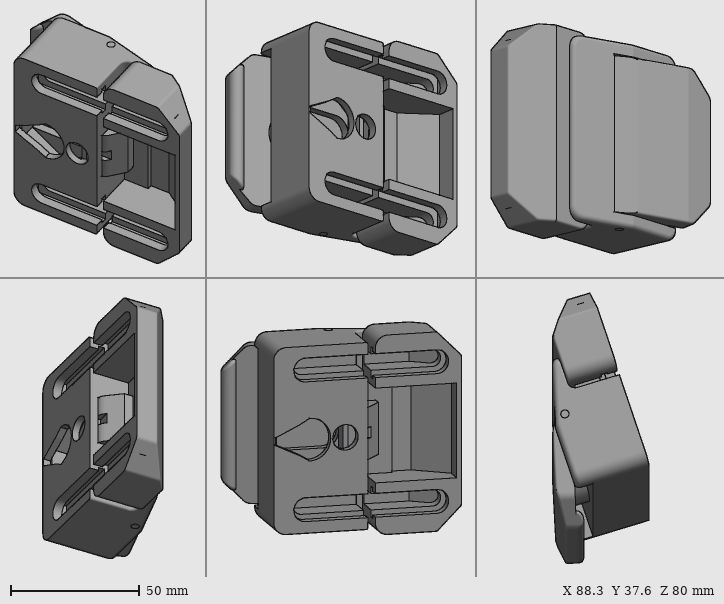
import cadquery as cq
import math


HOUSING_LEFT = 12.3
HOUSING_RIGHT = 50.4
HOUSING_HALF_WIDTH = 37.5
WALL_TOP = 30.0
ROOF_TIP = 65.3
ROOF_UNDERSIDE = 20.2
ROOF_KINK = 38.0
ROOF_FILLET = 3.0
TILT = math.radians(15)
CORNER_RADIUS = 5.0
HOUSING_EDGE_RADIUS = 2.0
LIP_EDGE_RADIUS = 0.85
DECK = 23.0
DECK_HALF_WIDTH = 32.1
DECK_END = 46.9

STRIKE_LEFT = 53.4
STRIKE_RIGHT = 88.31
STRIKE_HALF_WIDTH = 40.0
STRIKE_TOP = 20.2
STRIKE_KINK = 72.6
STRIKE_SLOPE = math.radians(35)
STRIKE_CHAMFER = 10.0
STRIKE_CHAMFER_RADIUS = 2.0
STRIKE_EDGE_RADIUS = 1.0
POCKET_HALF_WIDTH = 19.0
POCKET_DEPTH = 17.7
POCKET_END = STRIKE_RIGHT - 2.0
CATCH_DEPTH = 15.5
CATCH_END = 64.3

SLOT_OFFSET = 28.0
SLOT_LEFT_CENTRE = 25.2
SLOT_RIGHT_CENTRE = 78.25
SLOT_MOUTH_RADIUS = 4.75
SLOT_UNDERCUT_HALF_WIDTH = 6.1
SLOT_UNDERCUT_OVERHANG = 5.5
SLOT_CHANNEL_RADIUS = 3.3
SLOT_LIP_DEPTH = 3.9
SLOT_UNDERCUT_DEPTH = 6.4
SLOT_CHANNEL_DEPTH = 17.2
SLOT_CHANNEL_KINK = 71.7

LATCH_LEFT = 41.3
LATCH_TIP = 57.7
LATCH_HALF_WIDTH = 10.45
LATCH_FRONT = 3.6
LATCH_BACK = 15.2
LATCH_TIP_FRONT = 11.4
LATCH_SLOPE = math.radians(50)
LATCH_NOSE_RADIUS = 5.0
LATCH_WALL = 2.1
LATCH_RECESS_END = 48.0
LATCH_RECESS_HALF_WIDTH = 6.2
LATCH_RECESS_DEPTH = 6.0
LATCH_GROOVE_HALF_WIDTH = 2.15
LATCH_GROOVE_FLOOR = 6.1

FACE_WALL = 3.0
WINDOW_CENTRE = LATCH_LEFT
WINDOW_RADIUS = 5.1
KEYHOLE_CENTRE = 26.8
KEYHOLE_RADIUS = 8.55
KEYHOLE_TIP = 13.0
KEYHOLE_TIP_HALF_WIDTH = 1.55
KEYHOLE_WAIST = 22.8
KEYHOLE_LEDGE = 10.5
KEYHOLE_UNDERCUT_PEAK = (30.5, 16.8)
KEYHOLE_UNDERCUT_END = LATCH_LEFT
KEYHOLE_UNDERCUT_END_HALF_WIDTH = 7.7
KEYHOLE_CHANNEL_LEFT = 14.25
KEYHOLE_CHANNEL_RADIUS = 6.2
KEYHOLE_CHANNEL_DEPTH = 14.0

LEVER_HALF_WIDTH = 31.65
LEVER_TOP = 37.59
LEVER_THICKNESS = 7.5
LEVER_RAMP_START = 37.5
LEVER_RAMP = math.radians(29)
LEVER_END = 46.4
LEVER_CHAMFER = 10.0
LEVER_CORNER_RADIUS = 4.0
LEVER_EDGE_RADIUS = 1.0
BEAD_RADIUS = 3.0
BEAD_HEIGHT = 32.9
BEAD_END_RADIUS = 1.0

PIN_X = 41.27
PIN_Y = 25.2
PIN_RADIUS = 1.63
HUB_CENTRE = 27.5
HUB_RADIUS = 10.8


def side_extrude(points, half_width):
    """Extrude an XY outline symmetrically about Z = 0."""
    return cq.Workplane("XY").polyline(points).close().extrude(half_width, both=True)


def block(x_min, x_max, y_min, y_max, half_width):
    """Box that is symmetric about Z = 0."""
    corners = [(x_min, y_min), (x_max, y_min), (x_max, y_max), (x_min, y_max)]
    return side_extrude(corners, half_width)


def face_plane(depth):
    """Workplane parallel to the mounting face whose extrusions run toward +Y."""
    return cq.Workplane(cq.Plane(origin=(0, depth, 0), xDir=(1, 0, 0), normal=(0, 1, 0)))


def cylinder_y(x, radius, y_min, y_max):
    """Cylinder along Y, centred on Z = 0."""
    return face_plane(y_min).center(x, 0).circle(radius).extrude(y_max - y_min)


def obround(z, radius, y_min, y_max):
    """Round-ended slot between the two slot end centres."""
    length = SLOT_RIGHT_CENTRE - SLOT_LEFT_CENTRE
    middle = (SLOT_RIGHT_CENTRE + SLOT_LEFT_CENTRE) / 2
    plane = face_plane(y_min).center(middle, -z)
    return plane.slot2D(length + 2 * radius, 2 * radius).extrude(y_max - y_min)


def t_slot(z):
    """Round-ended mouth, wider square-ended undercut and narrow deep channel with a sloping right end."""
    mouth = obround(z, SLOT_MOUTH_RADIUS, 0, SLOT_LIP_DEPTH)
    undercut = block(
        SLOT_LEFT_CENTRE - SLOT_UNDERCUT_OVERHANG,
        SLOT_RIGHT_CENTRE + SLOT_UNDERCUT_OVERHANG,
        SLOT_LIP_DEPTH,
        SLOT_UNDERCUT_DEPTH,
        SLOT_UNDERCUT_HALF_WIDTH,
    ).translate((0, 0, z))
    channel = obround(z, SLOT_CHANNEL_RADIUS, 0, SLOT_CHANNEL_DEPTH)
    slope_run = STRIKE_RIGHT - SLOT_CHANNEL_KINK
    slope_drop = slope_run * math.tan(STRIKE_SLOPE)
    above_slope = [
        (SLOT_CHANNEL_KINK, SLOT_CHANNEL_DEPTH),
        (STRIKE_RIGHT, SLOT_CHANNEL_DEPTH),
        (STRIKE_RIGHT, SLOT_CHANNEL_DEPTH - slope_drop),
    ]
    channel = channel.cut(side_extrude(above_slope, STRIKE_HALF_WIDTH))
    return mouth.union(undercut).union(channel)


def upper_rim(body, slope):
    """Outer edges of the flat top and of the face sloping down to the right, without the ridge between."""
    normal = cq.Vector(math.sin(slope), math.cos(slope), 0)
    top = body.faces(">Y").edges().vals()
    sloping = body.faces(cq.selectors.DirectionMinMaxSelector(normal, True)).edges().vals()
    ridge = [edge for edge in top if any(edge.isSame(other) for other in sloping)]
    return [edge for edge in top + sloping if not any(edge.isSame(shared) for shared in ridge)]


def pin_rod():
    """Pivot pin through both side walls; the same shape cuts its holes."""
    return cq.Workplane("XY").center(PIN_X, PIN_Y).circle(PIN_RADIUS).extrude(HOUSING_HALF_WIDTH, both=True)


def latch_nose_start():
    """X where the sloping nose of the latch would meet its flat front."""
    run = (LATCH_TIP_FRONT - LATCH_FRONT) / math.tan(LATCH_SLOPE)
    return LATCH_TIP - run


def build_latch():
    outline = [
        (LATCH_LEFT, LATCH_FRONT),
        (latch_nose_start(), LATCH_FRONT),
        (LATCH_TIP, LATCH_TIP_FRONT),
        (LATCH_TIP, LATCH_BACK),
        (LATCH_LEFT, LATCH_BACK),
    ]
    body = side_extrude(outline, LATCH_HALF_WIDTH)
    nose_edge = cq.selectors.NearestToPointSelector((latch_nose_start(), LATCH_FRONT, 0))
    body = body.edges(nose_edge).fillet(LATCH_NOSE_RADIUS)
    recess = block(
        LATCH_LEFT + LATCH_WALL,
        LATCH_RECESS_END,
        LATCH_FRONT,
        LATCH_FRONT + LATCH_RECESS_DEPTH,
        LATCH_RECESS_HALF_WIDTH,
    )
    groove = block(LATCH_RECESS_END, LATCH_TIP, LATCH_FRONT, LATCH_GROOVE_FLOOR, LATCH_GROOVE_HALF_WIDTH)
    return body.cut(recess).cut(groove)


def keyhole():
    """Round opening tapering to a narrow tip, undercut behind the face, with a deep channel in the middle."""
    mouth = (
        face_plane(0)
        .moveTo(KEYHOLE_TIP, KEYHOLE_TIP_HALF_WIDTH)
        .lineTo(KEYHOLE_WAIST, KEYHOLE_CHANNEL_RADIUS)
        .lineTo(KEYHOLE_CENTRE, KEYHOLE_RADIUS)
        .threePointArc((KEYHOLE_CENTRE + KEYHOLE_RADIUS, 0), (KEYHOLE_CENTRE, -KEYHOLE_RADIUS))
        .lineTo(KEYHOLE_WAIST, -KEYHOLE_CHANNEL_RADIUS)
        .lineTo(KEYHOLE_TIP, -KEYHOLE_TIP_HALF_WIDTH)
        .close()
        .extrude(FACE_WALL)
    )
    upper_half = [
        (KEYHOLE_CHANNEL_LEFT, KEYHOLE_CHANNEL_RADIUS),
        KEYHOLE_UNDERCUT_PEAK,
        (KEYHOLE_UNDERCUT_END, KEYHOLE_UNDERCUT_END_HALF_WIDTH),
    ]
    lower_half = [(x, -z) for x, z in reversed(upper_half)]
    undercut = face_plane(FACE_WALL).polyline(upper_half + lower_half).close()
    undercut = undercut.extrude(KEYHOLE_LEDGE - FACE_WALL)

    channel_centre = KEYHOLE_UNDERCUT_END - KEYHOLE_CHANNEL_RADIUS
    channel = block(
        KEYHOLE_CHANNEL_LEFT, channel_centre, KEYHOLE_LEDGE, KEYHOLE_CHANNEL_DEPTH, KEYHOLE_CHANNEL_RADIUS)
    round_end = cylinder_y(channel_centre, KEYHOLE_CHANNEL_RADIUS, KEYHOLE_LEDGE, KEYHOLE_CHANNEL_DEPTH)
    return mouth.union(undercut).union(channel).union(round_end)


def latch_chamber():
    """Guide that the latch fills up to the right end of the housing."""
    return block(LATCH_LEFT, HOUSING_RIGHT, LATCH_FRONT, LATCH_BACK, LATCH_HALF_WIDTH)


def lip_zone():
    """Region around the right end of the walls and the underside of the roof, below the tip corners."""
    margin = 0.5
    return cq.selectors.BoxSelector(
        (HOUSING_RIGHT - margin, -margin, -HOUSING_HALF_WIDTH - margin),
        (ROOF_TIP - CORNER_RADIUS + margin, ROOF_UNDERSIDE + margin, HOUSING_HALF_WIDTH + margin),
    )


def build_housing():
    tip_top = WALL_TOP - (ROOF_TIP - ROOF_KINK) * math.tan(TILT)
    outline = [
        (HOUSING_LEFT, 0),
        (HOUSING_RIGHT, 0),
        (HOUSING_RIGHT, ROOF_UNDERSIDE),
        (ROOF_TIP, ROOF_UNDERSIDE),
        (ROOF_TIP, tip_top),
        (ROOF_KINK, WALL_TOP),
        (HOUSING_LEFT, WALL_TOP),
    ]
    body = side_extrude(outline, HOUSING_HALF_WIDTH)
    body = body.edges("|Y").edges("<X or >X").fillet(CORNER_RADIUS)
    inner_edge = cq.selectors.NearestToPointSelector((HOUSING_RIGHT, ROOF_UNDERSIDE, 0))
    body = body.edges(inner_edge).fillet(ROOF_FILLET)
    body = body.newObject(upper_rim(body, TILT)).fillet(HOUSING_EDGE_RADIUS)
    body = body.edges(lip_zone()).edges("|Y or |X or %CIRCLE").edges("<Z or >Z").fillet(LIP_EDGE_RADIUS)
    deck = block(0, DECK_END, DECK, WALL_TOP, DECK_HALF_WIDTH)
    window = cylinder_y(WINDOW_CENTRE, WINDOW_RADIUS, 0, LATCH_FRONT)
    body = body.cut(deck).cut(keyhole()).cut(window).cut(latch_chamber()).cut(pin_rod())
    for z in (-SLOT_OFFSET, SLOT_OFFSET):
        body = body.cut(t_slot(z))
    return body


def build_strike():
    end_height = STRIKE_TOP - (STRIKE_RIGHT - STRIKE_KINK) * math.tan(STRIKE_SLOPE)
    outline = [
        (STRIKE_LEFT, 0),
        (STRIKE_RIGHT, 0),
        (STRIKE_RIGHT, end_height),
        (STRIKE_KINK, STRIKE_TOP),
        (STRIKE_LEFT, STRIKE_TOP),
    ]
    chamfer_start = STRIKE_RIGHT - STRIKE_CHAMFER
    chamfer_end = STRIKE_HALF_WIDTH - STRIKE_CHAMFER
    plan = (
        face_plane(0)
        .polyline([
            (STRIKE_LEFT, -STRIKE_HALF_WIDTH),
            (chamfer_start, -STRIKE_HALF_WIDTH),
            (STRIKE_RIGHT, -chamfer_end),
            (STRIKE_RIGHT, chamfer_end),
            (chamfer_start, STRIKE_HALF_WIDTH),
            (STRIKE_LEFT, STRIKE_HALF_WIDTH),
        ])
        .close()
        .extrude(STRIKE_TOP)
    )
    plan = plan.edges("|Y").edges("not <X").fillet(STRIKE_CHAMFER_RADIUS)
    plan = plan.edges("|Y").edges("<X").fillet(CORNER_RADIUS)
    body = side_extrude(outline, STRIKE_HALF_WIDTH).intersect(plan)
    body = body.newObject(upper_rim(body, STRIKE_SLOPE)).fillet(STRIKE_EDGE_RADIUS)

    pocket_end_depth = POCKET_DEPTH - (POCKET_END - STRIKE_KINK) * math.tan(STRIKE_SLOPE)
    pocket = [
        (STRIKE_LEFT, 0),
        (POCKET_END, 0),
        (POCKET_END, pocket_end_depth),
        (STRIKE_KINK, POCKET_DEPTH),
        (CATCH_END, POCKET_DEPTH),
        (CATCH_END, CATCH_DEPTH),
        (STRIKE_LEFT, CATCH_DEPTH),
    ]
    body = body.cut(side_extrude(pocket, POCKET_HALF_WIDTH))
    for z in (-SLOT_OFFSET, SLOT_OFFSET):
        body = body.cut(t_slot(z))
    return body


def lever_underside(x):
    """Height of the lever's sloping underside."""
    return BEAD_HEIGHT - (x - BEAD_RADIUS) * math.tan(TILT)


def lever_upper(x):
    """Height of the lever's sloping upper face."""
    return lever_underside(x) + LEVER_THICKNESS / math.cos(TILT)


def lever_plan(left_end, left_height):
    """Outline of the lever seen square to its slope, with chamfered left corners."""
    along = (math.cos(TILT), -math.sin(TILT), 0)
    square = (math.sin(TILT), math.cos(TILT), 0)
    reach = LEVER_END * 2
    chamfer_end = LEVER_HALF_WIDTH - LEVER_CHAMFER
    plan = (
        cq.Workplane(cq.Plane(origin=(left_end, left_height, 0), xDir=along, normal=square))
        .polyline([
            (0, -chamfer_end),
            (LEVER_CHAMFER, -LEVER_HALF_WIDTH),
            (reach, -LEVER_HALF_WIDTH),
            (reach, LEVER_HALF_WIDTH),
            (LEVER_CHAMFER, LEVER_HALF_WIDTH),
            (0, chamfer_end),
        ])
        .close()
        .extrude(LEVER_TOP, both=True)
    )
    square_edges = plan.edges(cq.selectors.ParallelDirSelector(cq.Vector(*square)))
    return square_edges.edges("not >X").fillet(LEVER_CORNER_RADIUS)


def lever_bead(plan):
    """Half-round bead under the left end of the lever, with rounded ends."""
    across = BEAD_RADIUS * math.cos(TILT)
    rise = BEAD_RADIUS * math.sin(TILT)
    bead = (
        cq.Workplane("XY")
        .moveTo(BEAD_RADIUS - across, BEAD_HEIGHT + rise)
        .threePointArc((BEAD_RADIUS - rise, BEAD_HEIGHT - across), (BEAD_RADIUS + across, BEAD_HEIGHT - rise))
        .close()
        .extrude(LEVER_HALF_WIDTH, both=True)
        .intersect(plan)
    )
    return bead.edges("%ELLIPSE").fillet(BEAD_END_RADIUS)


def build_lever():
    left_end = BEAD_RADIUS - BEAD_RADIUS * math.cos(TILT)
    left_height = lever_underside(left_end)
    top_left = left_end + (LEVER_TOP - left_height) * math.tan(TILT)
    flat_end = BEAD_RADIUS + (lever_upper(BEAD_RADIUS) - LEVER_TOP) / math.tan(TILT)
    ramp_top = lever_upper(LEVER_RAMP_START)
    ramp_bottom = ramp_top - (LEVER_END - LEVER_RAMP_START) * math.tan(LEVER_RAMP)
    deck_contact = BEAD_RADIUS + (BEAD_HEIGHT - DECK) / math.tan(TILT)
    outline = [
        (left_end, left_height),
        (top_left, LEVER_TOP),
        (flat_end, LEVER_TOP),
        (LEVER_RAMP_START, ramp_top),
        (LEVER_END, ramp_bottom),
        (LEVER_END, DECK),
        (deck_contact, DECK),
    ]
    plate = side_extrude(outline, LEVER_HALF_WIDTH)
    plan = lever_plan(left_end, left_height)
    plate = plate.intersect(plan)
    plate = plate.newObject(upper_rim(plate, TILT)).fillet(LEVER_EDGE_RADIUS)
    bead = lever_bead(plan)
    return plate.union(bead).cut(pin_rod())


def build_hub():
    """Round hub on the deck, its top cut along the lever's underside."""
    left = HUB_CENTRE - HUB_RADIUS
    right = HUB_CENTRE + HUB_RADIUS
    wedge = [(left, DECK), (right, DECK), (right, lever_underside(right)), (left, lever_underside(left))]
    return cylinder_y(HUB_CENTRE, HUB_RADIUS, DECK, WALL_TOP).intersect(side_extrude(wedge, HUB_RADIUS))


housing = build_housing()
strike = build_strike()
latch = build_latch()
lever = build_lever()
pin = pin_rod()
hub = build_hub()

result = cq.Compound.makeCompound([
    housing.solids().val(),
    strike.solids().val(),
    latch.solids().val(),
    lever.solids().val(),
    pin.solids().val(),
    hub.solids().val(),
])